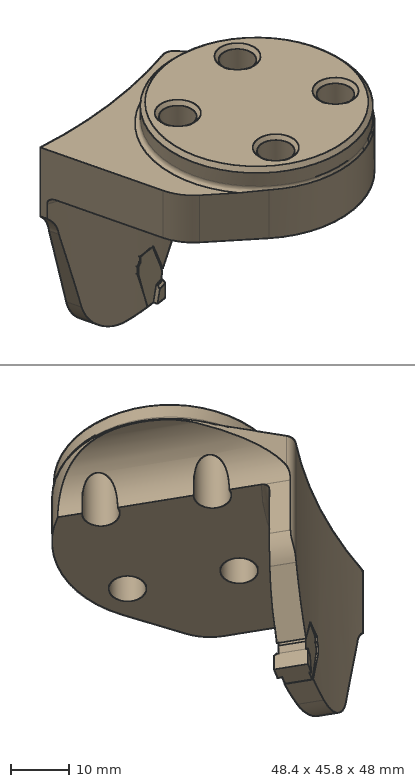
import cadquery as cq
import math


flange_radius = 40.0 / 2
flange_chamfer = 0.8
flare_radius = 0.9
plate_top = -4.5

hole_diameter = 6.5
hole_chamfer = 0.72
hole_offset = 9.85

plate_thickness = 9.95
plate_bottom = plate_top - plate_thickness
rim_radius = 20.3
front_y = -25.45
front_left_x = -28.05
back_left_x = -24.5
back_tangent_angle = math.radians(116.5)
front_tangent_angle = math.radians(-52.8)
front_corner_radius = 10.15
back_corner_radius = 2.17

blade_outer_x = -24.0
blade_inner_x = -18.85
blade_inner_radius = 45.45
blade_root_fillet = 1.45

blade_back_y = 10.65
blade_bottom = -47.35
blade_back_corner_z = -29.35
blade_back_corner_radius = 8.95
blade_toe_y = -17.85
blade_toe_radius = 9.65
blade_front_arc_start = (front_y, -19.0)
blade_front_arc_middle = (-24.35, -20.45)
blade_front_arc_end = (-23.6, -22.9)

insert_outer_x = blade_outer_x
insert_inner_x = -19.2
tip_outer_x = -24.35
tip_inner_x = -18.35
seat_corner = (0, -42.0)
tip_top = (0, -44.35)
tip_point = (0, -48.0)
insert_heel = (-4.6, -47.5)
tip_shoulder = (-1.7, -44.55)
tip_root_y = -2.6
tip_chamfer = 0.5


def extrude_along_x(profile, x_start, x_end):
    """Extrude a closed YZ profile from x_start to x_end."""
    return profile.extrude(x_end - x_start).translate((x_start, 0, 0))


def on_flank(tangent_angle, x=None, y=None):
    """Point at the given x or y on the line that touches the rim at tangent_angle."""
    normal_x = math.cos(tangent_angle)
    normal_y = math.sin(tangent_angle)
    if x is not None:
        return (x, (rim_radius - normal_x * x) / normal_y)
    return ((rim_radius - normal_y * y) / normal_x, y)


def on_rim(angle):
    return (rim_radius * math.cos(angle), rim_radius * math.sin(angle))


def plan_blank(z_bottom, z_top):
    """Prism of the plan outline shared by the plate and the blade."""
    back_corner = on_flank(back_tangent_angle, x=back_left_x)
    front_corner = on_flank(front_tangent_angle, y=front_y)
    blank = (
        cq.Workplane("XY", origin=(0, 0, z_bottom))
        .moveTo(front_left_x, front_y)
        .lineTo(*front_corner)
        .lineTo(*on_rim(front_tangent_angle))
        .threePointArc((rim_radius, 0), on_rim(back_tangent_angle))
        .lineTo(*back_corner)
        .threePointArc((blade_outer_x, 0), (front_left_x, front_y))
        .close()
        .extrude(z_top - z_bottom)
    )
    middle_z = (z_bottom + z_top) / 2
    for corner, radius in ((front_corner, front_corner_radius), (back_corner, back_corner_radius)):
        edge = cq.selectors.NearestToPointSelector((*corner, middle_z))
        blank = blank.edges(edge).fillet(radius)
    return blank


def side_envelope():
    """Side profile of plate and blade, with the concave scoop under the back of the plate."""
    scoop_y = blade_back_y + plate_thickness
    scoop_middle = plate_thickness * math.sqrt(0.5)
    back_corner = (blade_back_y, blade_back_corner_z)
    toe = (blade_toe_y, blade_bottom)
    profile = (
        cq.Workplane("YZ")
        .moveTo(front_y, plate_top)
        .lineTo(*blade_front_arc_start)
        .threePointArc(blade_front_arc_middle, blade_front_arc_end)
        .lineTo(*toe)
        .lineTo(tip_root_y, blade_bottom)
        .lineTo(*seat_corner)
        .lineTo(*back_corner)
        .lineTo(blade_back_y, plate_bottom)
        .threePointArc((scoop_y - scoop_middle, plate_bottom + scoop_middle), (scoop_y, plate_top))
        .close()
    )
    envelope = extrude_along_x(profile, front_left_x, rim_radius)
    middle_x = (front_left_x + rim_radius) / 2
    for corner, radius in ((back_corner, blade_back_corner_radius), (toe, blade_toe_radius)):
        edge = cq.selectors.NearestToPointSelector((middle_x, *corner))
        envelope = envelope.edges(edge).fillet(radius)
    return envelope


def inner_clearance():
    """Space below the plate, outside the blade's inner face, rounded at the blade root."""
    height = plate_bottom - blade_bottom
    space_size = 4 * blade_inner_radius
    space = (
        cq.Workplane("XY", origin=(blade_inner_x - blade_inner_radius, 0, blade_bottom))
        .rect(space_size, space_size)
        .circle(blade_inner_radius)
        .extrude(height)
    )
    return space.faces(">Z").edges("%CIRCLE").fillet(blade_root_fillet)


def flange():
    return (
        cq.Workplane("XY", origin=(0, 0, plate_top))
        .circle(flange_radius)
        .extrude(-plate_top)
        .faces(">Z")
        .chamfer(flange_chamfer)
    )


def flange_flare():
    """Concave ring at the foot of the flange, trimmed to the plate outline."""
    flare_top = plate_top + flare_radius
    flare_outer = flange_radius + flare_radius
    arc_middle = flare_radius * math.sqrt(0.5)
    ring = (
        cq.Workplane("XZ")
        .moveTo(0, plate_top)
        .lineTo(flare_outer, plate_top)
        .threePointArc((flare_outer - arc_middle, flare_top - arc_middle), (flange_radius, flare_top))
        .lineTo(0, flare_top)
        .close()
        .revolve(360, (0, 0), (0, 1))
    )
    return ring.intersect(plan_blank(plate_top, flare_top))


def mounting_holes():
    bores = (
        cq.Workplane("XY", origin=(0, 0, plate_bottom))
        .rect(2 * hole_offset, 2 * hole_offset, forConstruction=True)
        .vertices()
        .circle(hole_diameter / 2)
        .extrude(-plate_bottom)
    )
    countersinks = (
        cq.Workplane("XY")
        .rect(2 * hole_offset, 2 * hole_offset, forConstruction=True)
        .vertices()
        .circle(hole_diameter / 2 + hole_chamfer)
        .extrude(-hole_chamfer, taper=45)
    )
    return bores.union(countersinks)


def insert_profile():
    return (
        cq.Workplane("YZ")
        .moveTo(-3.0, -35.55)
        .lineTo(-6.85, -35.55)
        .lineTo(-6.85, -36.75)
        .lineTo(-7.5, -37.3)
        .lineTo(-7.5, -38.85)
        .lineTo(*insert_heel)
        .lineTo(*tip_point)
        .lineTo(*tip_top)
        .lineTo(0.4, -43.0)
        .lineTo(*seat_corner)
        .close()
    )


def make_insert():
    """Flat insert with a wider cutting tip at its lower back corner."""
    body = extrude_along_x(insert_profile(), insert_outer_x, insert_inner_x)
    heel_slope = (insert_heel[1] - tip_point[1]) / insert_heel[0]
    tip_root = (tip_root_y, tip_point[1] + heel_slope * tip_root_y)
    tip_profile = cq.Workplane("YZ").polyline([tip_top, tip_shoulder, tip_root, tip_point]).close()
    top_inner_edge = cq.selectors.NearestToPointSelector((tip_inner_x, tip_shoulder[0] / 2, tip_top[1]))
    tip = extrude_along_x(tip_profile, tip_outer_x, tip_inner_x).edges(top_inner_edge).chamfer(tip_chamfer)
    return body.union(tip)


def make_holder():
    """Plate and blade with the flange on top, the mounting holes and the insert seat."""
    holder = plan_blank(blade_bottom, plate_top).intersect(side_envelope())
    holder = holder.cut(inner_clearance())
    holder = holder.union(flange()).union(flange_flare())
    holder = holder.cut(mounting_holes())
    return holder.cut(extrude_along_x(insert_profile(), front_left_x, 0))


holder = make_holder()
insert = make_insert()
result = cq.Compound.makeCompound([holder.solids().val(), insert.solids().val()])